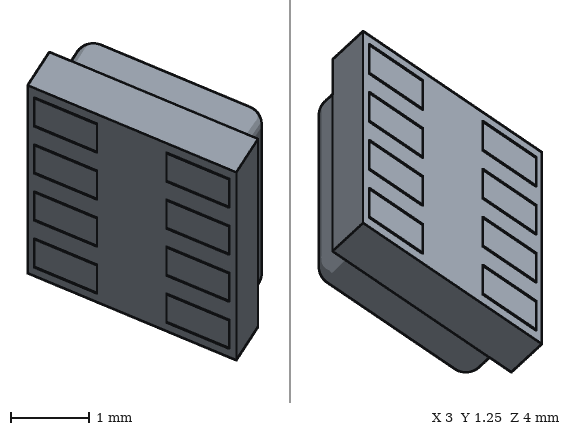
import cadquery as cq

width = 3.0
height = 4.0

base_depth = 0.6
pad_width = 0.9
pad_height = 0.6
pad_proud = 0.01
pad_pitch = 1.0
pad_rows = 4
pad_edge_gap = 0.1

lid_inset = 0.18
lid_radius = 0.25
lid_depth = 0.64

front_seated = (True, False, True)


def make_base():
    return cq.Workplane("XY").box(width, base_depth, height, centered=front_seated)


def make_lid():
    lid = cq.Workplane("XY").box(
        width - 2 * lid_inset, lid_depth, height - 2 * lid_inset, centered=front_seated
    )
    lid = lid.edges("|Y or >Y").fillet(lid_radius)
    return lid.translate((0, base_depth, 0))


def make_pads():
    column_spacing = width - 2 * pad_edge_gap - pad_width
    return (
        cq.Workplane("XZ")
        .rarray(column_spacing, pad_pitch, 2, pad_rows)
        .rect(pad_width, pad_height)
        .extrude(pad_proud)
    )


result = make_base().union(make_lid()).union(make_pads())